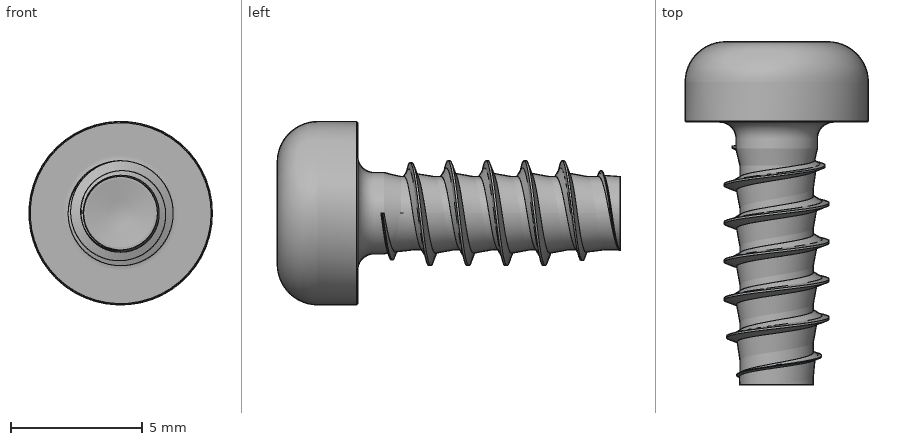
import cadquery as cq
import math

length = 13.09

head_diameter = 7.0
head_radius = head_diameter / 2
head_height = 3.08
dome_radius = 1.56
rim_chamfer = 0.05
seat_y = length - head_height

shank_radius = 1.56
neck_fillet = 0.62
shank_end_y = 9.0
core_radius = 1.4
core_top_y = 8.35

dish_radius = 1.31
dish_depth = 0.2

pitch = 1.45
crest_radius = 2.0
crest_half_width = 0.04
mid_flank_radius = 1.73
mid_flank_offset = 0.098
upper_root_radius = 1.34
upper_root_offset = 0.33
lower_root_radius = 1.53
lower_root_offset = -0.21
ramp_end_radius = 1.37
ramp_end_offset = -1.06
buried_radius = 1.2
lead_in_turns = 1.5
run_out_start_turn = 5.25
thread_end_turn = 6.25
start_scale = 0.05
end_scale = 0.5
patches_per_turn = 4
patch_steps = 6


def make_body():
    """Revolve the head, neck fillet, shank and smooth core about Y."""
    fillet_center = (shank_radius + neck_fillet, seat_y - neck_fillet)
    dome_center = (head_radius - dome_radius, length - dome_radius)
    diagonal = math.sqrt(0.5)
    fillet_mid = (
        fillet_center[0] - neck_fillet * diagonal,
        fillet_center[1] + neck_fillet * diagonal,
    )
    dome_mid = (
        dome_center[0] + dome_radius * diagonal,
        dome_center[1] + dome_radius * diagonal,
    )
    return (
        cq.Workplane("XY")
        .moveTo(0, 0)
        .lineTo(core_radius, 0)
        .lineTo(core_radius, core_top_y)
        .lineTo(shank_radius, shank_end_y)
        .lineTo(shank_radius, fillet_center[1])
        .threePointArc(fillet_mid, (fillet_center[0], seat_y))
        .lineTo(head_radius - rim_chamfer, seat_y)
        .lineTo(head_radius, seat_y + rim_chamfer)
        .lineTo(head_radius, dome_center[1])
        .threePointArc(dome_mid, (dome_center[0], length))
        .lineTo(0, length)
        .close()
        .revolve(360, (0, 0, 0), (0, 1, 0))
    )


def thread_scale(turn):
    """Relative thread height: lead-in, full height, then run-out."""
    if turn < lead_in_turns:
        return start_scale + (1 - start_scale) * turn / lead_in_turns
    if turn < run_out_start_turn:
        return 1.0
    progress = (turn - run_out_start_turn) / (thread_end_turn - run_out_start_turn)
    return 1 + (end_scale - 1) * progress


def thread_section(scale):
    """Section corners as (radius, axial offset), in order around the section."""

    def scaled(radius, offset):
        return core_radius + scale * (radius - core_radius), scale * offset

    return [
        (buried_radius, scale * upper_root_offset),
        scaled(upper_root_radius, upper_root_offset),
        scaled(mid_flank_radius, mid_flank_offset),
        scaled(crest_radius, crest_half_width),
        scaled(crest_radius, -crest_half_width),
        scaled(lower_root_radius, lower_root_offset),
        (ramp_end_radius, ramp_end_offset),
        (buried_radius, ramp_end_offset),
    ]


def section_points(turn):
    """Section corners in space; the thread starts on the -Z side and climbs via -X."""
    angle = 2 * math.pi * turn
    return [
        cq.Vector(-radius * math.sin(angle), pitch * turn + offset, -radius * math.cos(angle))
        for radius, offset in thread_section(thread_scale(turn))
    ]


def make_thread():
    """Skin the section along the helix, a quarter turn per patch, and cap both ends."""
    faces = []
    for patch in range(round(thread_end_turn * patches_per_turn)):
        sections = [
            section_points((patch + step / patch_steps) / patches_per_turn)
            for step in range(patch_steps + 1)
        ]
        helices = [cq.Edge.makeSpline(list(points)) for points in zip(*sections)]
        for i, helix in enumerate(helices):
            faces.append(cq.Face.makeRuledSurface(helix, helices[(i + 1) % len(helices)]))
    for turn in (0, thread_end_turn):
        end_outline = cq.Wire.makePolygon(section_points(turn), close=True)
        faces.append(cq.Face.makeFromWires(end_outline))
    thread = cq.Solid.makeSolid(cq.Shell.makeShell(faces))
    return cq.Workplane(thread.fix())


def make_tip_trim():
    """Everything beyond the tip face, where the thread would overshoot."""
    trim_depth = 2 * pitch
    return cq.Workplane("XZ").circle(head_radius).extrude(trim_depth)


def make_dish():
    """Conical dish centred in the tip face."""
    return (
        cq.Workplane("XY")
        .polyline([(0, 0), (dish_radius, 0), (0, dish_depth)])
        .close()
        .revolve(360, (0, 0, 0), (0, 1, 0))
    )


result = make_body().union(make_thread()).cut(make_tip_trim()).cut(make_dish())